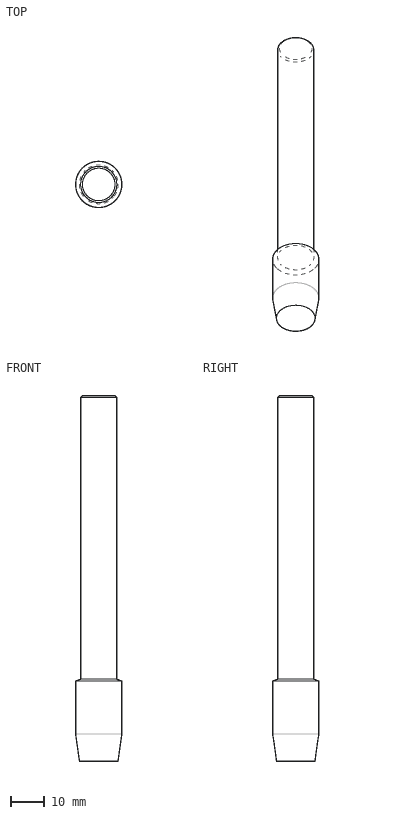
import cadquery as cq

total_length = 110.0

head_diameter = 14.0
nose_end_diameter = 11.7
nose_length = 8.1
collar_length = 16.0
shoulder_height = 0.7

rod_diameter = 10.9
rod_chamfer_width = 0.5
rod_chamfer_height = 0.5

head_radius = head_diameter / 2
nose_end_radius = nose_end_diameter / 2
rod_radius = rod_diameter / 2
collar_top = nose_length + collar_length
head_top = collar_top + shoulder_height


def make_head():
    """Revolve the nose, collar and sloping shoulder about the Z axis."""
    return (
        cq.Workplane("XZ")
        .lineTo(nose_end_radius, 0)
        .lineTo(head_radius, nose_length)
        .lineTo(head_radius, collar_top)
        .lineTo(rod_radius, head_top)
        .lineTo(0, head_top)
        .close()
        .revolve(360, (0, 0, 0), (0, 1, 0))
    )


def make_rod():
    """Revolve the rod with its chamfered top end about the Z axis."""
    return (
        cq.Workplane("XZ")
        .moveTo(0, head_top)
        .lineTo(rod_radius, head_top)
        .lineTo(rod_radius, total_length - rod_chamfer_height)
        .lineTo(rod_radius - rod_chamfer_width, total_length)
        .lineTo(0, total_length)
        .close()
        .revolve(360, (0, 0, 0), (0, 1, 0))
    )


head = make_head()
rod = make_rod()

result = cq.Compound.makeCompound([head.val(), rod.val()])